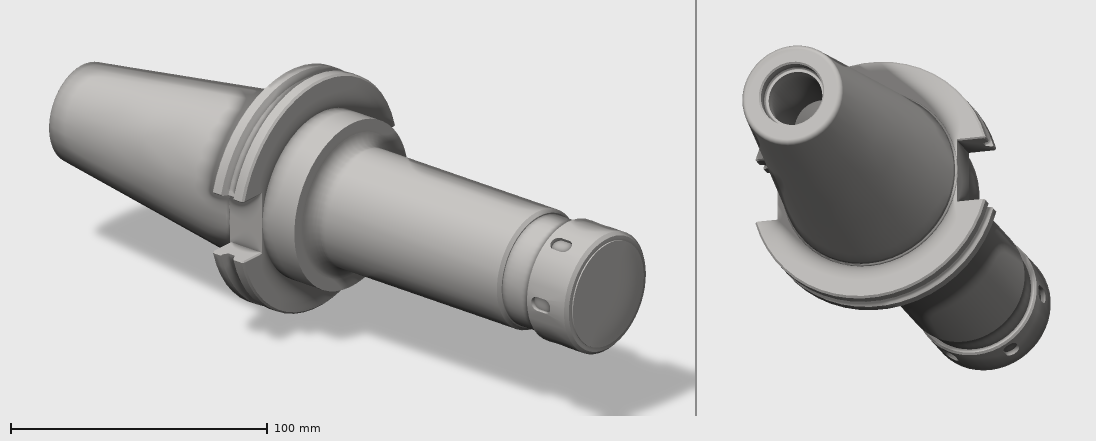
import cadquery as cq
import math

total_length = 266.8
gauge_line = 102.2
flange_front = 104.8
flange_back = 120.8
shoulder_end = 136.9
shank_end = 232.0
nut_start = 245.5
nut_shell_end = 266.2

gauge_diameter = 70.0
small_end_diameter = 40.5
small_end_round = 2.0
flange_root_round = 0.8

flange_diameter = 97.5
flange_edge_chamfer = 0.8
groove_center = 112.8
groove_bottom_width = 3.2
groove_depth = 2.7
groove_wall_angle = 30.0

keyway_width = 25.0
keyway_edge_chamfer = 0.5
keyway_floor_back = 37.5
keyway_floor_front = 35.5
keyways = [(1, keyway_floor_back), (-1, keyway_floor_front)]

shank_diameter = 49.4
shank_fillet = 5.0
shank_end_chamfer = 1.3
neck_diameter = 45.5

bore_mouth_diameter = 26.7
bore_pilot_diameter = 25.3
bore_pilot_depth = 5.3
bore_pilot_floor_chamfer = 0.5
bore_diameter = 22.0
bore_depth = 40.0
bore_floor_cone_angle = 118.0

nut_diameter = 50.0
nut_back_chamfer = 0.8
nut_front_chamfer = 1.3
nose_diameter = 43.5
slot_count = 6
slot_length = 9.5
slot_width = 6.0
slot_depth = 2.0
slot_center = 253.2


def revolve_about_x(profile):
    """Revolve a closed profile, drawn as X against radius, about the X axis."""
    return profile.close().revolve(360, (0, 0, 0), (1, 0, 0))


def holder_blank():
    """Taper, flange, shoulder, shank and neck in one turned profile."""
    small_radius = small_end_diameter / 2
    gauge_radius = gauge_diameter / 2
    flange_radius = flange_diameter / 2
    shank_radius = shank_diameter / 2
    neck_radius = neck_diameter / 2

    turned = revolve_about_x(
        cq.Workplane("XY")
        .lineTo(0, small_radius)
        .lineTo(gauge_line, gauge_radius)
        .lineTo(flange_front - flange_root_round, gauge_radius)
        .radiusArc((flange_front, gauge_radius + flange_root_round), flange_root_round)
        .lineTo(flange_front, flange_radius - flange_edge_chamfer)
        .lineTo(flange_front + flange_edge_chamfer, flange_radius)
        .lineTo(flange_back - flange_edge_chamfer, flange_radius)
        .lineTo(flange_back, flange_radius - flange_edge_chamfer)
        .lineTo(flange_back, gauge_radius)
        .lineTo(shoulder_end, gauge_radius)
        .lineTo(shoulder_end, shank_radius + shank_fillet)
        .radiusArc((shoulder_end + shank_fillet, shank_radius), -shank_fillet)
        .lineTo(shank_end - shank_end_chamfer, shank_radius)
        .lineTo(shank_end, shank_radius - shank_end_chamfer)
        .lineTo(shank_end, neck_radius)
        .lineTo(nut_start, neck_radius)
        .lineTo(nut_start, 0)
    )
    return turned.faces("<X").edges().fillet(small_end_round)


def flange_groove():
    """Ring of trapezoidal section around the flange."""
    top_radius = flange_diameter / 2
    bottom_radius = top_radius - groove_depth
    half_bottom = groove_bottom_width / 2
    half_top = half_bottom + groove_depth * math.tan(math.radians(groove_wall_angle))
    return revolve_about_x(
        cq.Workplane("XY")
        .moveTo(groove_center - half_bottom, bottom_radius)
        .lineTo(groove_center - half_top, top_radius)
        .lineTo(groove_center + half_top, top_radius)
        .lineTo(groove_center + half_bottom, bottom_radius)
    )


def keyway(side, floor):
    """Slot through the flange's width; side is +1 for +Y and -1 for -Y."""
    depth = flange_diameter / 2 - floor
    return cq.Workplane("XY").box(flange_back - flange_front, depth, keyway_width).translate(
        ((flange_front + flange_back) / 2, side * (floor + depth / 2), 0)
    )


def keyway_mouth_edges(body):
    """Edges of the keyway walls on the flange faces and rim, without those on the keyway floors."""
    clearance = flange_edge_chamfer / 4
    half_width = keyway_width / 2
    mouth_edges = body.newObject([])
    for side, floor in keyways:
        for z in (-half_width, half_width):
            wall = cq.selectors.BoxSelector(
                (flange_front - clearance, side * (floor + clearance), z - clearance),
                (flange_back + clearance, side * flange_diameter / 2, z + clearance),
            )
            mouth_edges = mouth_edges.add(body.edges(wall))
    return mouth_edges


def drawbar_bore():
    """Chamfered pilot bore and a narrower blind hole whose floor rises to a cone tip on the axis."""
    pilot_radius = bore_pilot_diameter / 2
    hole_radius = bore_diameter / 2
    mouth_radius = bore_mouth_diameter / 2
    mouth_chamfer = mouth_radius - pilot_radius
    cone_height = hole_radius / math.tan(math.radians(bore_floor_cone_angle / 2))
    return revolve_about_x(
        cq.Workplane("XY")
        .lineTo(0, mouth_radius)
        .lineTo(mouth_chamfer, pilot_radius)
        .lineTo(bore_pilot_depth - bore_pilot_floor_chamfer, pilot_radius)
        .lineTo(bore_pilot_depth, pilot_radius - bore_pilot_floor_chamfer)
        .lineTo(bore_pilot_depth, hole_radius)
        .lineTo(bore_depth, hole_radius)
        .lineTo(bore_depth - cone_height, 0)
    )


def make_holder():
    holder = holder_blank()
    for side, floor in keyways:
        holder = holder.cut(keyway(side, floor))
    holder = keyway_mouth_edges(holder).chamfer(keyway_edge_chamfer)
    return holder.cut(flange_groove()).cut(drawbar_bore())


def wrench_slot(angle):
    """Flat-bottomed oblong pocket, turned about X from the -Y direction."""
    floor = nut_diameter / 2 - slot_depth
    slot = (
        cq.Workplane("XZ", origin=(slot_center, -floor, 0))
        .slot2D(slot_length, slot_width)
        .extrude(2 * slot_depth)
    )
    return slot.rotate((0, 0, 0), (1, 0, 0), angle)


def make_nut():
    nut_radius = nut_diameter / 2
    nose_radius = nose_diameter / 2
    nut = revolve_about_x(
        cq.Workplane("XY")
        .moveTo(nut_start, 0)
        .lineTo(nut_start, nut_radius - nut_back_chamfer)
        .lineTo(nut_start + nut_back_chamfer, nut_radius)
        .lineTo(nut_shell_end - nut_front_chamfer, nut_radius)
        .lineTo(nut_shell_end, nut_radius - nut_front_chamfer)
        .lineTo(nut_shell_end, nose_radius)
        .lineTo(total_length, nose_radius)
        .lineTo(total_length, 0)
    )
    for index in range(slot_count):
        nut = nut.cut(wrench_slot(index * 360 / slot_count))
    return nut


holder = make_holder()
nut = make_nut()
result = cq.Compound.makeCompound([holder.val(), nut.val()])